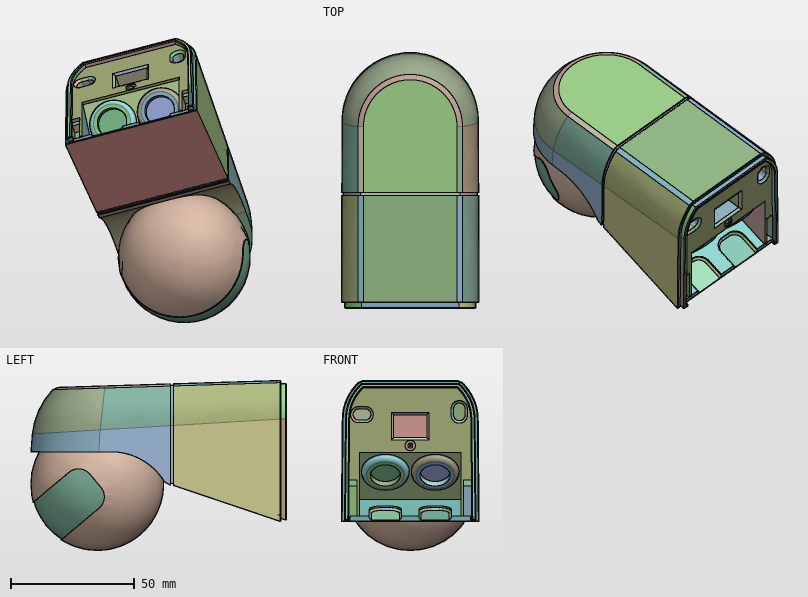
import cadquery as cq
import math


ball_radius = 27.0
lens_recess = 0.3
lens_tilt = 40.0
lens_top = 11.0
lens_bottom = -8.0
lens_rear = -0.3
lens_corner = 6.0

base_z = -16.0
base_half_width = 28.0
base_nose_center = 1.1
shoulder_half_width = 27.6
shoulder_nose_center = -1.2
shoulder_z = 21.92
shoulder_slope = 0.060
rim_half_width = 21.2
rim_nose_center = -3.1
rim_drop = 0.9
flat_half_width = 19.0
top_z = 39.77
top_slope = 0.0309
shoulder_steps = 4
form_rear_y = -80.0

head_rear_y = -29.8
arm_front_y = -31.0
arm_rear_y = -74.6
lip_rear_y = -76.9
panel_y = -75.0
arm_bottom_front_z = -0.6
arm_bottom_rear_z = -15.3
neck_inset = 0.6
lip_inset = 1.3
lip_inner_inset = 3.0
lip_bevel = 0.4
lip_gap_half_width = 24.4
end_bevel = 0.35

head_bottom_z = 13.1
head_arc_start_y = -5.6
head_arc_radius = 25.5
head_arc_end_y = -27.4
head_heel_z = -0.3
head_front_y = 40.0

chamber_half_width = 20.6
chamber_top_z = 12.9
chamber_corner_z = -6.2
seat_tilt = 45.0
floor_thickness = 2.4
grommet_pitch = 20.2
grommet_z = 5.2
grommet_radius = 9.7
grommet_height = 2.4
grommet_rounding = 2.0
grommet_hole_radius = 6.1
grommet_hole_depth = 2.6
knockout_width = 13.2
knockout_corner = 4.8
knockout_front_y = -62.8
knockout_depth = 1.6
knockout_bevel = 0.9

window_width = 13.4
window_height = 9.2
window_z = 23.5
window_depth = 10.0
window_bevel = 0.95
screw_z = 15.6
screw_head_radius = 2.1
screw_head_depth = 0.6
screw_cone_radius = 1.3
screw_cone_tip_radius = 0.3
screw_cone_depth = 2.0
slot_length = 7.2
slot_width = 4.6
slot_depth = 5.0
slot_bevel = 1.0
slot_bevel_angle = 45.0
slot_places = [(-19.6, 28.2, 0), (19.9, 29.3, 90)]
side_pocket_inner_x = 21.7
side_pocket_outer_x = 25.2
side_pocket_top_z = 1.6
side_pocket_depth = 5.0
side_pocket_step_height = 2.3
side_pocket_step_depth = 1.5

far = 100.0

arm_bottom_slope = (arm_bottom_front_z - arm_bottom_rear_z) / (arm_front_y - arm_rear_y)
chamber_corner_y = arm_front_y + (chamber_corner_z - floor_thickness - arm_bottom_front_z) / arm_bottom_slope


def side_prism(profile, half_width):
    """Extrude a closed YZ profile symmetrically across X."""
    return profile.extrude(half_width, both=True)


def arm_bottom_z(y):
    """Height of the arm's sloping underside at y."""
    return arm_bottom_front_z + (y - arm_front_y) * arm_bottom_slope


def slab(front_y, rear_y, bottom_rise=0.0):
    """Everything between two Y planes and above the arm's sloping underside, raised by bottom_rise."""
    points = [
        (front_y, arm_bottom_z(front_y) + bottom_rise),
        (rear_y, arm_bottom_z(rear_y) + bottom_rise),
        (rear_y, far),
        (front_y, far),
    ]
    return side_prism(cq.Workplane("YZ").polyline(points).close(), far)


def outline(half_width, nose_center, z, slope):
    """Round-nosed outline on a plane that rises towards -Y."""
    normal = (0, slope, 1)
    plane = cq.Plane(origin=(0, 0, z), xDir=(1, 0, 0), normal=normal)
    return (
        cq.Workplane(plane)
        .moveTo(-half_width, form_rear_y)
        .lineTo(-half_width, nose_center)
        .threePointArc((0, nose_center + half_width), (half_width, nose_center))
        .lineTo(half_width, form_rear_y)
        .close()
        .val()
    )


def outer_form(inset=0.0):
    """Drafted skirt, rounded shoulder and flat top; an inset form keeps a sharp top edge."""
    full_rise = top_z - rim_drop - shoulder_z
    inward = shoulder_half_width - rim_half_width
    radius = (full_rise ** 2 + inward ** 2) / (2 * inward)
    arc_center_x = shoulder_half_width - radius
    bevelled = inset == 0
    rise = full_rise if bevelled else top_z - inset - shoulder_z

    shoulder = []
    for i in range(shoulder_steps + 1):
        t = i / shoulder_steps
        half_width = arc_center_x + math.sqrt((radius - inset) ** 2 - (t * rise) ** 2)
        nose_center = shoulder_nose_center + t * (rim_nose_center - shoulder_nose_center)
        slope = shoulder_slope + t * (top_slope - shoulder_slope)
        shoulder.append(outline(half_width, nose_center, shoulder_z + t * rise, slope))

    base = outline(base_half_width - inset, base_nose_center, base_z, 0)
    skirt = cq.Solid.makeLoft([base, shoulder[0]], True)
    crown = cq.Solid.makeLoft(shoulder)
    form = cq.Workplane(skirt).union(cq.Workplane(crown))
    if bevelled:
        flat = outline(flat_half_width, rim_nose_center, top_z, top_slope)
        form = form.union(cq.Workplane(cq.Solid.makeLoft([shoulder[-1], flat], True)))
    return form


def make_ball():
    ball = cq.Workplane("XY").sphere(ball_radius)
    skin = ball.cut(cq.Workplane("XY").sphere(ball_radius - lens_recess))
    length = 2 * ball_radius
    lens = (
        cq.Workplane("YZ")
        .transformed(rotate=(0, 0, -lens_tilt))
        .center(lens_rear + length / 2, (lens_top + lens_bottom) / 2)
        .rect(length, lens_top - lens_bottom)
        .extrude(far, both=True)
        .edges("|X")
        .fillet(lens_corner)
    )
    return ball.cut(skin.intersect(lens))


def make_head():
    arc_center_z = head_bottom_z - head_arc_radius

    def arc_z(y):
        return arc_center_z + math.sqrt(head_arc_radius ** 2 - (y - head_arc_start_y) ** 2)

    arc_mid_y = (head_arc_start_y + head_arc_end_y) / 2
    profile = (
        cq.Workplane("YZ")
        .moveTo(head_front_y, head_bottom_z)
        .lineTo(head_arc_start_y, head_bottom_z)
        .threePointArc((arc_mid_y, arc_z(arc_mid_y)), (head_arc_end_y, arc_z(head_arc_end_y)))
        .lineTo(head_rear_y + end_bevel, head_heel_z)
        .lineTo(head_rear_y, head_heel_z)
        .lineTo(head_rear_y, far)
        .lineTo(head_front_y, far)
        .close()
    )
    head = outer_form().intersect(side_prism(profile, far))
    return head.cut(cq.Workplane("XY").sphere(ball_radius))


def arm_floor_z(y):
    """Height of the chamber floor at y."""
    return arm_bottom_z(y) + floor_thickness


def seat_y(z):
    """Y of the leaning seat wall at height z."""
    return chamber_corner_y - (z - chamber_corner_z) * math.tan(math.radians(seat_tilt))


def cable_chamber():
    points = [
        (-far, arm_floor_z(lip_rear_y)),
        (lip_rear_y, arm_floor_z(lip_rear_y)),
        (chamber_corner_y, chamber_corner_z),
        (seat_y(chamber_top_z), chamber_top_z),
        (-far, chamber_top_z),
    ]
    return side_prism(cq.Workplane("YZ").polyline(points).close(), chamber_half_width)


def panel_plane(x, z):
    return cq.Workplane("XZ", origin=(x, panel_y, z))


def add_grommet_seats(arm):
    lean = math.radians(seat_tilt)
    for x in (-grommet_pitch / 2, grommet_pitch / 2):
        plane = cq.Plane(
            origin=(x, seat_y(grommet_z), grommet_z),
            xDir=(1, 0, 0),
            normal=(0, -math.cos(lean), -math.sin(lean)),
        )
        boss = (
            cq.Workplane(plane)
            .circle(grommet_radius)
            .extrude(grommet_height)
            .faces(cq.DirectionMinMaxSelector(plane.zDir, True))
            .edges()
            .fillet(grommet_rounding)
        )
        hole = (
            cq.Workplane(plane)
            .workplane(offset=grommet_height)
            .circle(grommet_hole_radius)
            .extrude(-grommet_hole_depth)
        )
        arm = arm.union(boss).cut(hole)
    return arm


def knockouts():
    """Thinned round-ended places in the floor, open at the mounting end."""
    pads = cq.Workplane("XY")
    length = knockout_front_y + far
    slope_angle = math.degrees(math.atan(arm_bottom_slope))
    for x in (-grommet_pitch / 2, grommet_pitch / 2):
        pad = (
            cq.Workplane("XY")
            .box(knockout_width, length, knockout_depth * 2)
            .translate((0, -length / 2, 0))
            .edges("|Z and >Y")
            .fillet(knockout_corner)
            .faces("<Z")
            .edges()
            .chamfer(knockout_bevel)
            .rotate((0, 0, 0), (1, 0, 0), slope_angle)
            .translate((x, knockout_front_y, arm_floor_z(knockout_front_y)))
        )
        pads = pads.add(pad)
    return pads.combine()


def cut_panel_window(arm):
    mouth_width = window_width + 2 * window_bevel
    mouth_height = window_height + 2 * window_bevel
    pocket = panel_plane(0, window_z).rect(window_width, window_height).extrude(-window_depth)
    mouth = (
        panel_plane(0, window_z)
        .rect(mouth_width, mouth_height)
        .workplane(offset=-window_bevel)
        .rect(window_width, window_height)
        .loft()
    )
    return arm.cut(pocket).cut(mouth)


def cut_screw_hole(arm):
    recess = panel_plane(0, screw_z).circle(screw_head_radius).extrude(-screw_head_depth)
    cone = (
        panel_plane(0, screw_z)
        .circle(screw_cone_radius)
        .workplane(offset=-screw_cone_depth)
        .circle(screw_cone_tip_radius)
        .loft()
    )
    return arm.cut(recess).cut(cone)


def cut_mounting_slots(arm):
    for x, z, angle in slot_places:
        slot = panel_plane(x, z).slot2D(slot_length, slot_width, angle).extrude(-slot_depth)
        mouth = (
            panel_plane(x, z)
            .slot2D(slot_length + 2 * slot_bevel, slot_width + 2 * slot_bevel, angle)
            .extrude(-slot_bevel, taper=slot_bevel_angle)
        )
        arm = arm.cut(slot).cut(mouth)
    return arm


def side_pockets():
    """Deeper pockets beside the chamber, each with a shallow ledge at its top."""
    width = side_pocket_outer_x - side_pocket_inner_x
    end_y = panel_y + side_pocket_depth
    step_y = panel_y + side_pocket_step_depth
    step_z = side_pocket_top_z - side_pocket_step_height
    bottom_z = arm_floor_z(panel_y)
    points = [
        (panel_y, bottom_z),
        (end_y, bottom_z),
        (end_y, step_z),
        (step_y, step_z),
        (step_y, side_pocket_top_z),
        (panel_y, side_pocket_top_z),
    ]
    right = (
        cq.Workplane("YZ", origin=(side_pocket_inner_x, 0, 0))
        .polyline(points)
        .close()
        .extrude(width)
    )
    return right.union(right.mirror("YZ"))


def make_lip():
    """Thin wall around the panel on the sides and top, open along the floor."""
    lip = outer_form(lip_inset).intersect(slab(arm_rear_y, lip_rear_y, lip_inset))
    inside = outer_form(lip_inner_inset).intersect(slab(panel_y, lip_rear_y, floor_thickness))
    lip = lip.cut(inside).faces("<Y").edges().chamfer(lip_bevel)
    length = arm_rear_y - lip_rear_y
    gap_top_z = arm_floor_z(arm_rear_y)
    depth = gap_top_z + far
    floor_gap = cq.Workplane("XY").box(2 * lip_gap_half_width, length, depth).translate(
        (0, lip_rear_y + length / 2, gap_top_z - depth / 2)
    )
    return lip.cut(floor_gap)


def make_arm():
    shell = outer_form().intersect(slab(arm_front_y, arm_rear_y))
    shell = shell.faces("<Y").edges().chamfer(end_bevel)
    neck = outer_form(neck_inset).intersect(slab(head_rear_y, arm_front_y, neck_inset))

    arm = shell.union(neck).union(make_lip())
    arm = arm.cut(cable_chamber())
    arm = add_grommet_seats(arm)
    arm = arm.cut(side_pockets()).cut(knockouts())
    arm = cut_panel_window(arm)
    arm = cut_screw_hole(arm)
    return cut_mounting_slots(arm)


ball = make_ball()
head = make_head()
arm = make_arm()
result = cq.Compound.makeCompound(
    [arm.solids().val(), head.solids().val(), ball.solids().val()]
)